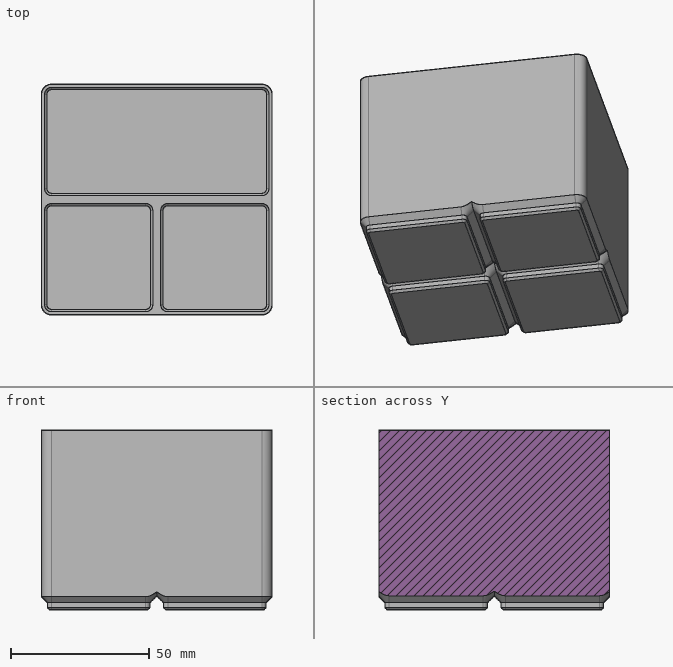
import cadquery as cq

side = 83.5
height = 65.0
corner_radius = 3.75

foot_gap = 0.5
foot_pitch = (side + foot_gap) / 2
foot_top = foot_pitch - foot_gap
foot_chamfer = 0.8
foot_band = 1.75
foot_flare = 2.2
foot_waist = foot_top - 2 * foot_flare
foot_waist_radius = corner_radius - foot_flare
merge_height = 6.8

wall = 2.0
floor_height = 7.0
pocket_short = foot_top - 2 * wall
pocket_long = side - 2 * wall
pocket_radius = corner_radius - wall
rim_chamfer = 0.8


def rounded_block(length, width, radius, bottom, top):
    """Upright block with rounded vertical edges, centred on the Z axis."""
    block = cq.Workplane("XY").workplane(offset=bottom).rect(length, width).extrude(top - bottom)
    return block.edges("|Z").fillet(radius)


def flare_up(block, rise):
    """Add a 45 degree outward flare on top of a block."""
    outline = block.faces(">Z").wires().toPending().workplane()
    return block.union(outline.extrude(rise, taper=-45, combine=False))


def make_foot():
    """One foot, with its flare carried up to the merge height."""
    band_top = foot_chamfer + foot_band
    stem = rounded_block(foot_waist, foot_waist, foot_waist_radius, 0, band_top)
    stem = stem.faces("<Z").chamfer(foot_chamfer)
    return flare_up(stem, merge_height - band_top)


def make_pocket(length, width):
    """Cutter for one compartment, flaring at the rim to leave a 45 degree chamfer."""
    pocket = rounded_block(length, width, pocket_radius, floor_height, height - rim_chamfer)
    return flare_up(pocket, rim_chamfer)


foot = make_foot()
half_pitch = foot_pitch / 2
body = rounded_block(side, side, corner_radius, merge_height, height)
outline = rounded_block(side, side, corner_radius, 0, merge_height)
for x in (-half_pitch, half_pitch):
    for y in (-half_pitch, half_pitch):
        body = body.union(foot.translate((x, y, 0)).intersect(outline))

result = body.cut(make_pocket(pocket_long, pocket_short).translate((0, half_pitch, 0)))
for x in (-half_pitch, half_pitch):
    result = result.cut(make_pocket(pocket_short, pocket_short).translate((x, -half_pitch, 0)))